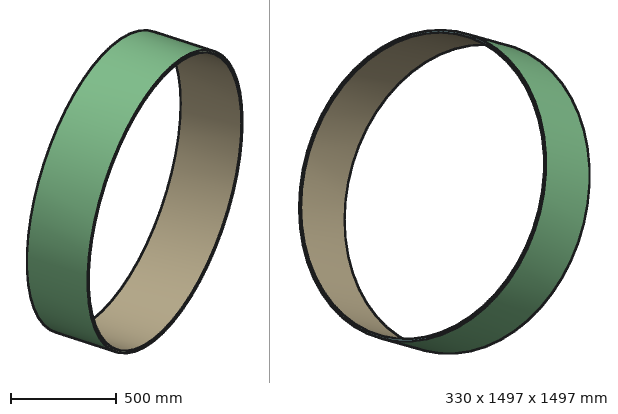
import cadquery as cq

outer_diameter = 1497.0
wall = 13.0
width = 330.0

outer_radius = outer_diameter / 2
inner_radius = outer_radius - wall
result = (
    cq.Workplane("YZ", origin=(-width / 2, 0, 0))
    .circle(outer_radius)
    .circle(inner_radius)
    .extrude(width)
)